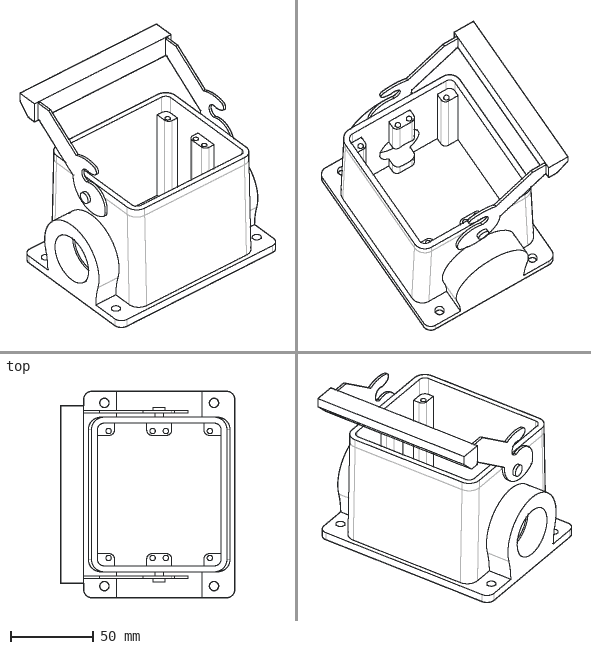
import cadquery as cq
import math


BASE_WIDTH = 92.2
BASE_LENGTH = 126.0
BASE_THICKNESS = 5.3
BASE_CORNER_RADIUS = 5.2
MOUNT_SPACING_X = 66.8
MOUNT_SPACING_Y = 111.6
MOUNT_HOLE_DIAMETER = 5.5

BOX_BOTTOM_WIDTH = 86.3
BOX_TOP_WIDTH = 82.5
BOX_LENGTH = 94.2
BOX_TOP = 79.0
RIM_HEIGHT = 5.5
BOX_CORNER_RADIUS = 7.5
WALL = 3.7
CAVITY_WIDTH = BOX_TOP_WIDTH - 2 * WALL
CAVITY_LENGTH = BOX_LENGTH - 2 * WALL
CAVITY_CORNER_RADIUS = BOX_CORNER_RADIUS - WALL

PILLAR_TOP = 67.2
PILLAR_DEPTH = 7.4
CORNER_PILLAR_WIDTH = 10.3
MIDDLE_PILLAR_WIDTH = 15.2
PILLAR_RADIUS = 3.3
SCREW_HOLE_DIAMETER = 3.3
SCREW_HOLE_DEPTH = 12.6
SCREW_SPACING_Y = 77.4
CORNER_SCREW_X = 30.9
MIDDLE_SCREW_X = 4.0

BOSS_RADIUS = 26.0
BOSS_AXIS_Z = 27.1
BOSS_FOOT_RADIUS = 2 * BOSS_RADIUS
BORE_DIAMETER = 28.1
COUNTERBORE_DIAMETER = 32.0
COUNTERBORE_DEPTH = 14.0

LEVER_TOP = 114.8
GRIP_LEFT = -60.1
GRIP_WIDTH = 14.0
GRIP_HEIGHT = GRIP_WIDTH
GRIP_CHAMFER = 8.0
GRIP_LENGTH = 108.4
PLATE_OUTER_Y = 51.3
PLATE_THICKNESS = 1.6
PIVOT_Z = 69.0
PIN_DIAMETER = 5.0
PIN_HEAD_DIAMETER = 7.3
PIN_END_Y = 53.2

ARM_TOP = 113.9
ARM_TOP_CORNER_X = -36.3
ARM_HEEL = (-45.0, 101.0)
ARM_SHOULDER = (-10.0, 95.1)
FINGER_CREST = (-0.1, 97.1)
FINGER_TIP_UPPER = (7.5, 95.9)
FINGER_TIP = (9.3, 93.1)
FINGER_TIP_LOWER = (7.5, 90.3)
FINGER_UNDERSIDE = (5.2, 89.6)
HOOK_RADIUS = 4.5
HOOK_CENTRE_Z = 85.2
HOOK_LIP_X = 2.4
CAM_CENTRE_X = 4.9
CAM_RADIUS = 12.7
CAM_BACK_ANGLE = 45
CAM_END_ANGLE = -10
CAM_NOSE = (17.3, 65.4)
HEEL_CENTRE = (5.3, 78.1)
HEEL_RADIUS = 18.1
HEEL_START_ANGLE = -52
HEEL_MIDDLE_ANGLE = -120
HEEL_END_ANGLE = -180


def point_on_circle(centre, radius, degrees):
    angle = math.radians(degrees)
    return (centre[0] + radius * math.cos(angle), centre[1] + radius * math.sin(angle))


def rounded_rectangle(width, length, radius):
    return cq.Sketch().rect(width, length).vertices().fillet(radius)


def tapered_block(bottom_width, top_width, length, radius, bottom, top):
    """Block with straight ends whose two long sides lean inwards towards the top."""
    rise = cq.Location(cq.Vector(0, 0, top - bottom))
    return (
        cq.Workplane("XY")
        .workplane(offset=bottom)
        .placeSketch(
            rounded_rectangle(bottom_width, length, radius),
            rounded_rectangle(top_width, length, radius).moved(rise),
        )
        .loft(ruled=True)
    )


def straight_block(width, length, radius, bottom, top):
    return (
        cq.Workplane("XY")
        .workplane(offset=bottom)
        .placeSketch(rounded_rectangle(width, length, radius))
        .extrude(top - bottom)
    )


def cylinder_along_y(x, z, diameter, y_start, y_end):
    solid = cq.Solid.makeCylinder(
        diameter / 2, abs(y_end - y_start), cq.Vector(x, y_start, z), cq.Vector(0, y_end - y_start, 0)
    )
    return cq.Workplane(obj=solid)


def make_base():
    base = straight_block(BASE_WIDTH, BASE_LENGTH, BASE_CORNER_RADIUS, 0, BASE_THICKNESS)
    return (
        base.faces(">Z")
        .workplane()
        .rect(MOUNT_SPACING_X, MOUNT_SPACING_Y, forConstruction=True)
        .vertices()
        .hole(MOUNT_HOLE_DIAMETER)
    )


def make_box_form():
    """Solid outer form of the box: a tapered part below a straight rim."""
    rim_bottom = BOX_TOP - RIM_HEIGHT
    lower = tapered_block(
        BOX_BOTTOM_WIDTH, BOX_TOP_WIDTH, BOX_LENGTH, BOX_CORNER_RADIUS, BASE_THICKNESS, rim_bottom
    )
    rim = straight_block(BOX_TOP_WIDTH, BOX_LENGTH, BOX_CORNER_RADIUS, rim_bottom, BOX_TOP)
    return lower.union(rim, clean=False)


def make_cavity():
    """Straight-walled cavity, open at the top, down to the top face of the base."""
    return straight_block(CAVITY_WIDTH, CAVITY_LENGTH, CAVITY_CORNER_RADIUS, BASE_THICKNESS, BOX_TOP)


def make_bosses():
    """Round boss over concave feet that end upright on the base, along the full base length."""
    centre = (0, BOSS_AXIS_Z)
    foot_reach = BOSS_RADIUS + BOSS_FOOT_RADIUS
    rise = BOSS_AXIS_Z - BASE_THICKNESS
    blend_angle = math.degrees(math.asin(rise / foot_reach))
    foot_centre = (math.sqrt(foot_reach**2 - rise**2), BASE_THICKNESS)
    blend_x, blend_z = point_on_circle(centre, BOSS_RADIUS, -blend_angle)
    middle_x, middle_z = point_on_circle(foot_centre, BOSS_FOOT_RADIUS, 180 - blend_angle / 2)
    foot_x = foot_centre[0] - BOSS_FOOT_RADIUS
    return (
        cq.Workplane("XZ")
        .moveTo(-foot_x, BASE_THICKNESS)
        .threePointArc((-middle_x, middle_z), (-blend_x, blend_z))
        .threePointArc((0, BOSS_AXIS_Z + BOSS_RADIUS), (blend_x, blend_z))
        .threePointArc((middle_x, middle_z), (foot_x, BASE_THICKNESS))
        .close()
        .extrude(BASE_LENGTH / 2, both=True)
    )


def make_pillar(x_start, x_end, side):
    """Pillar against one end wall; side is -1 or 1 along Y."""
    inner_edges = "|Z and <Y" if side > 0 else "|Z and >Y"
    pillar = cq.Workplane("XY").box(
        x_end - x_start, PILLAR_DEPTH, PILLAR_TOP - BASE_THICKNESS, centered=(True, True, False)
    )
    centre_y = side * (CAVITY_LENGTH - PILLAR_DEPTH) / 2
    return pillar.edges(inner_edges).fillet(PILLAR_RADIUS).translate(
        ((x_start + x_end) / 2, centre_y, BASE_THICKNESS)
    )


def make_pillars():
    corner_inner = CAVITY_WIDTH / 2 - CORNER_PILLAR_WIDTH
    corner_outer = CAVITY_WIDTH / 2 + PILLAR_RADIUS
    half_middle = MIDDLE_PILLAR_WIDTH / 2
    spans = [(-corner_outer, -corner_inner), (-half_middle, half_middle), (corner_inner, corner_outer)]
    return [make_pillar(start, end, side) for side in (-1, 1) for start, end in spans]


def make_screw_holes():
    spots = [
        (x, side * SCREW_SPACING_Y / 2)
        for side in (-1, 1)
        for x in (-CORNER_SCREW_X, -MIDDLE_SCREW_X, MIDDLE_SCREW_X, CORNER_SCREW_X)
    ]
    return (
        cq.Workplane("XY")
        .workplane(offset=PILLAR_TOP)
        .pushPoints(spots)
        .circle(SCREW_HOLE_DIAMETER / 2)
        .extrude(-SCREW_HOLE_DEPTH)
    )


def make_cable_bore():
    """Stepped bore from the -Y end, through the end wall and the pillar behind it."""
    outer_y = -BASE_LENGTH / 2
    inner_y = -CAVITY_LENGTH / 2 + PILLAR_DEPTH
    bore = cylinder_along_y(0, BOSS_AXIS_Z, BORE_DIAMETER, outer_y, inner_y)
    counterbore = cylinder_along_y(
        0, BOSS_AXIS_Z, COUNTERBORE_DIAMETER, outer_y, outer_y + COUNTERBORE_DEPTH
    )
    return bore.union(counterbore)


def make_housing():
    cavity = make_cavity()
    for pillar in make_pillars():
        cavity = cavity.cut(pillar)
    housing = make_base().union(make_bosses()).union(make_box_form(), clean=False)
    return (
        housing.cut(cavity, clean=False)
        .cut(make_screw_holes(), clean=False)
        .cut(make_cable_bore(), clean=False)
    )


def make_grip():
    grip_right = GRIP_LEFT + GRIP_WIDTH
    grip_bottom = LEVER_TOP - GRIP_HEIGHT
    return (
        cq.Workplane("XZ")
        .moveTo(GRIP_LEFT, LEVER_TOP)
        .lineTo(grip_right, LEVER_TOP)
        .lineTo(grip_right, grip_bottom)
        .lineTo(GRIP_LEFT + GRIP_CHAMFER, grip_bottom)
        .lineTo(GRIP_LEFT, grip_bottom + GRIP_CHAMFER)
        .close()
        .extrude(GRIP_LENGTH / 2, both=True)
    )


def make_side_plate():
    """Arm, hook and rounded cam of one side plate, on the -Y side."""
    grip_right = GRIP_LEFT + GRIP_WIDTH
    hook_lip_rise = math.sqrt(HOOK_RADIUS**2 - HOOK_LIP_X**2)
    hook_bottom = (0, HOOK_CENTRE_Z - HOOK_RADIUS)
    cam_centre = (CAM_CENTRE_X, PIVOT_Z)
    return (
        cq.Workplane("XZ", origin=(0, PLATE_THICKNESS - PLATE_OUTER_Y, 0))
        .moveTo(grip_right, ARM_TOP)
        .lineTo(ARM_TOP_CORNER_X, ARM_TOP)
        .lineTo(*ARM_SHOULDER)
        .threePointArc(FINGER_CREST, FINGER_TIP_UPPER)
        .threePointArc(FINGER_TIP, FINGER_TIP_LOWER)
        .threePointArc(FINGER_UNDERSIDE, (HOOK_LIP_X, HOOK_CENTRE_Z + hook_lip_rise))
        .threePointArc((-HOOK_RADIUS, HOOK_CENTRE_Z), hook_bottom)
        .threePointArc(
            point_on_circle(cam_centre, CAM_RADIUS, CAM_BACK_ANGLE),
            point_on_circle(cam_centre, CAM_RADIUS, CAM_END_ANGLE),
        )
        .threePointArc(CAM_NOSE, point_on_circle(HEEL_CENTRE, HEEL_RADIUS, HEEL_START_ANGLE))
        .threePointArc(
            point_on_circle(HEEL_CENTRE, HEEL_RADIUS, HEEL_MIDDLE_ANGLE),
            point_on_circle(HEEL_CENTRE, HEEL_RADIUS, HEEL_END_ANGLE),
        )
        .lineTo(*ARM_HEEL)
        .lineTo(grip_right, ARM_HEEL[1])
        .close()
        .extrude(PLATE_THICKNESS)
    )


def make_pin():
    """Headed pivot pin on the -Y side, from the box wall out through the side plate."""
    shaft = cylinder_along_y(0, PIVOT_Z, PIN_DIAMETER, -BOX_LENGTH / 2, -PLATE_OUTER_Y)
    head = cylinder_along_y(0, PIVOT_Z, PIN_HEAD_DIAMETER, -PLATE_OUTER_Y, -PIN_END_Y)
    return shaft.union(head)


def make_lever():
    side = make_side_plate().union(make_pin())
    return make_grip().union(side).union(side.mirror("XZ"))


housing = make_housing()
lever = make_lever()

result = cq.Compound.makeCompound([housing.solids().val(), lever.solids().val()])